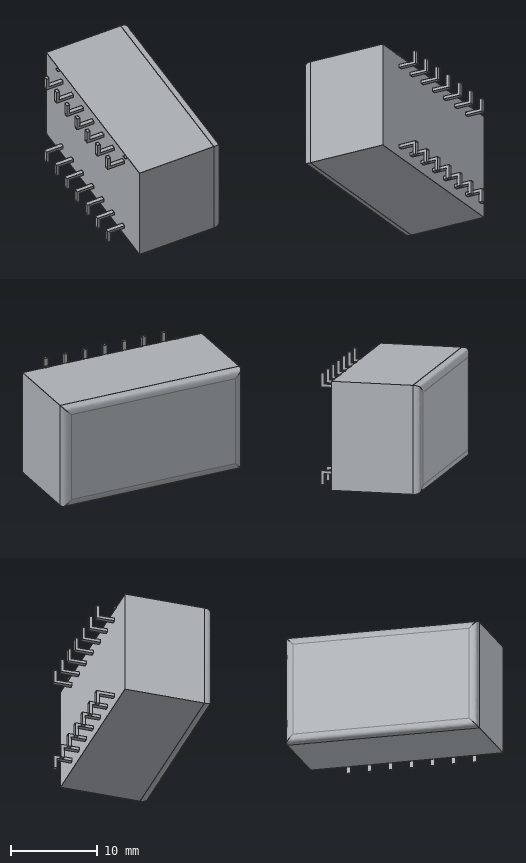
import cadquery as cq


length = 23.2
height = 12.9
body_depth = 10.7
cap_depth = 0.97
blend_fullness = 0.8
housing_depth = body_depth - cap_depth

tab_width = 0.5
tab_reach = 0.3
tab_thickness = 0.07
tab_offset = 8.38

pins_per_row = 7
pin_pitch = 2.54
pin_width = 0.5
pin_thickness = 0.37
pin_reach = 2.2
foot_length = 1.67
foot_overhang = 0.15
foot_tip = height / 2 + foot_overhang
leg_inner = foot_tip - foot_length
leg_outer = leg_inner + pin_thickness


def make_tab(x_centre):
    """A thin tongue flush with the top face of the housing."""
    tab = cq.Workplane("XY").box(tab_width, tab_reach, tab_thickness, centered=(True, False, False))
    return tab.translate((x_centre, -tab_reach, height / 2 - tab_thickness))


def make_pin(x_centre):
    """An upper-row pin: a straight leg with its foot bent toward +Z."""
    profile = [
        (0, leg_inner),
        (-pin_reach, leg_inner),
        (-pin_reach, foot_tip),
        (-pin_reach + pin_thickness, foot_tip),
        (-pin_reach + pin_thickness, leg_outer),
        (0, leg_outer),
    ]
    pin = cq.Workplane("YZ").polyline(profile).close().extrude(pin_width)
    return pin.translate((x_centre - pin_width / 2, 0, 0))


def make_housing():
    """The housing block with its tabs and both rows of pins in one piece."""
    housing = cq.Workplane("XY").box(length, housing_depth, height, centered=(True, False, True))
    for side in (-1, 1):
        housing = housing.union(make_tab(side * tab_offset))
    for index in range(pins_per_row):
        upper_pin = make_pin((index - (pins_per_row - 1) / 2) * pin_pitch)
        housing = housing.union(upper_pin).union(upper_pin.mirror("XY"))
    return housing


def make_rounded_profile(plane, width, extrusion):
    """A slab outline on the given plane with both outer corners blended, extruded centrally."""
    half = width / 2
    flat_half = half - cap_depth
    side_handle = blend_fullness * cap_depth
    flat_handle = flat_half + side_handle
    left_blend = [(-half, 0), (-half, side_handle), (-flat_handle, cap_depth), (-flat_half, cap_depth)]
    right_blend = [(flat_half, cap_depth), (flat_handle, cap_depth), (half, side_handle), (half, 0)]
    outline = (
        cq.Workplane(plane)
        .workplane(offset=-extrusion / 2)
        .moveTo(-half, 0)
        .bezier(left_blend)
        .lineTo(flat_half, cap_depth)
        .bezier(right_blend)
        .close()
    )
    return outline.extrude(extrusion)


def make_cap():
    """The cover slab, blended smoothly from its full outline to its flat outer face on all four edges."""
    across_x = make_rounded_profile(cq.Plane.XY(), length, height)
    across_z = make_rounded_profile(cq.Plane((0, 0, 0), xDir=(0, 0, 1), normal=(-1, 0, 0)), height, length)
    return across_x.intersect(across_z).translate((0, housing_depth, 0))


housing = make_housing()
cap = make_cap()

result = cq.Compound.makeCompound([housing.val(), cap.val()])